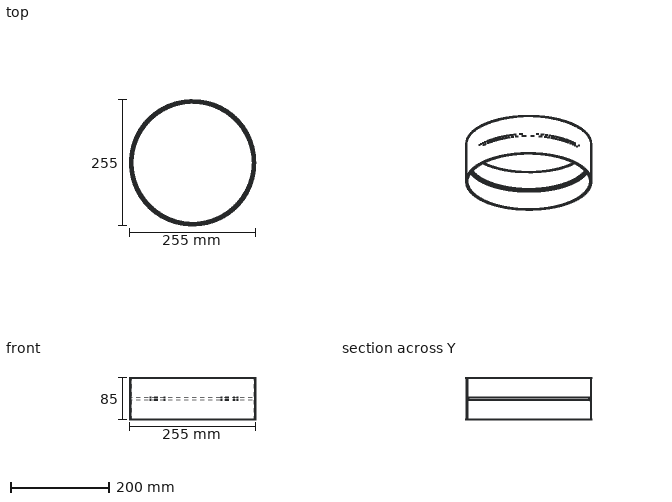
import cadquery as cq

outer_diameter = 255.0
wall_thickness = 2.5
height = 85.0
rib_projection = 2.5
rib_height = 5.0

bore_diameter = outer_diameter - 2 * wall_thickness
rib_inner_diameter = bore_diameter - 2 * rib_projection
rib_bottom = (height - rib_height) / 2


def ring(outer, inner, base, length):
    """Plain ring about Z, standing on the level `base`."""
    return cq.Workplane("XY").workplane(offset=base).circle(outer / 2).circle(inner / 2).extrude(length)


wall = ring(outer_diameter, bore_diameter, 0, height)

rib = ring(outer_diameter, rib_inner_diameter, rib_bottom, rib_height)

result = wall.union(rib)